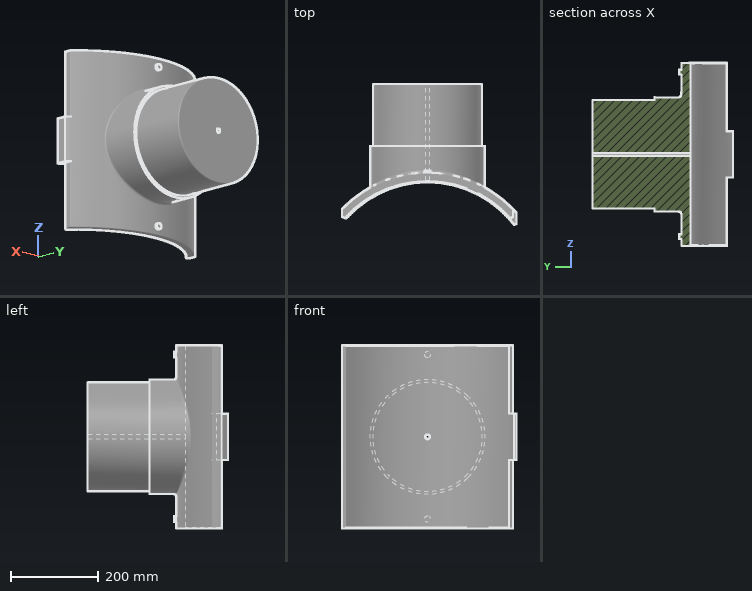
import cadquery as cq
import math

INNER_RADIUS = 250.0
WALL = 22.0
OUTER_RADIUS = INNER_RADIUS + WALL
MID_WALL_RADIUS = (INNER_RADIUS + OUTER_RADIUS) / 2
SADDLE_HALF_WIDTH = 196.0
SADDLE_HEIGHT = 420.0
SADDLE_INNER_EDGE_X = 186.0
SADDLE_EDGE_FILLET = 2.5

TAB_REACH = 204.0
TAB_INNER_EDGE_X = 198.06
TAB_HEIGHT = 106.0

END_FACE_SLOPE = math.radians(20.0)

COLLAR_DIAMETER = 262.5
COLLAR_END_Y = 333.0
SPIGOT_DIAMETER = 250.0
SPIGOT_END_Y = 475.0
SPIGOT_END_FILLET = 3.0
COLLAR_ROOT_FILLET = 5.0
PILOT_HOLE_DIAMETER = 10.0

STUD_DIAMETER = 14.0
STUD_OFFSET_Z = 188.0
STUD_PROJECTION = 4.5

MATCH_TOLERANCE = 0.01
SELECTION_MARGIN = 1.0


def height_on_circle(radius, x):
    """Y of the circle of this radius about the Z axis at the given X."""
    return math.sqrt(radius ** 2 - x ** 2)


def wall_half(half_width, inner_edge_x, height):
    """Wall segment from the crown to a trimmed +X edge, centred on Z = 0."""
    inner_edge_y = height_on_circle(INNER_RADIUS, inner_edge_x)
    outer_edge_y = height_on_circle(OUTER_RADIUS, half_width)
    side_bottom_y = inner_edge_y + (half_width - inner_edge_x) * math.tan(END_FACE_SLOPE)
    outer_mid_x = half_width / 2
    inner_mid_x = inner_edge_x / 2
    return (
        cq.Workplane("XY")
        .workplane(offset=-height / 2)
        .moveTo(0, OUTER_RADIUS)
        .threePointArc(
            (outer_mid_x, height_on_circle(OUTER_RADIUS, outer_mid_x)),
            (half_width, outer_edge_y),
        )
        .lineTo(half_width, side_bottom_y)
        .lineTo(inner_edge_x, inner_edge_y)
        .threePointArc(
            (inner_mid_x, height_on_circle(INNER_RADIUS, inner_mid_x)),
            (0, INNER_RADIUS),
        )
        .close()
        .extrude(height)
    )


def cylinder_along_y(diameter, start_y, end_y, z=0.0):
    """Cylinder parallel to Y on the plane X = 0."""
    base = cq.Workplane("XZ", origin=(0, start_y, z))
    return base.circle(diameter / 2).extrude(start_y - end_y)


def make_saddle():
    """Wall segment with rounded edges; the ends of its trimmed faces and its inner +X edge stay sharp."""
    half = wall_half(SADDLE_HALF_WIDTH, SADDLE_INNER_EDGE_X, SADDLE_HEIGHT)
    saddle = half.union(half.mirror("YZ")).clean()

    end_face_middle_x = (SADDLE_HALF_WIDTH + SADDLE_INNER_EDGE_X) / 2

    def is_rounded(edge):
        x = edge.Center().x
        on_end_face = math.isclose(abs(x), end_face_middle_x, abs_tol=MATCH_TOLERANCE)
        is_inner_tab_edge = math.isclose(x, SADDLE_INNER_EDGE_X, abs_tol=MATCH_TOLERANCE)
        return not (on_end_face or is_inner_tab_edge)

    return saddle.edges().filter(is_rounded).fillet(SADDLE_EDGE_FILLET)


def make_spigot():
    spigot = cylinder_along_y(SPIGOT_DIAMETER, COLLAR_END_Y, SPIGOT_END_Y)
    return spigot.faces(">Y").edges().fillet(SPIGOT_END_FILLET)


def add_collar(saddle):
    """Join the collar to the saddle and fillet the curve where they meet."""
    start_y = height_on_circle(MID_WALL_RADIUS, COLLAR_DIAMETER / 2)
    pipe_side = cq.Workplane("XY").circle(MID_WALL_RADIUS).extrude(SADDLE_HEIGHT / 2, both=True)
    collar = cylinder_along_y(COLLAR_DIAMETER, start_y, COLLAR_END_Y).cut(pipe_side)
    root_reach = COLLAR_DIAMETER / 2 + SELECTION_MARGIN
    root_zone = cq.selectors.BoxSelector(
        (-root_reach, height_on_circle(OUTER_RADIUS, root_reach), -root_reach),
        (root_reach, OUTER_RADIUS + SELECTION_MARGIN, root_reach),
    )
    return saddle.union(collar).edges(root_zone).fillet(COLLAR_ROOT_FILLET)


def make_stud(z):
    return cylinder_along_y(STUD_DIAMETER, MID_WALL_RADIUS, OUTER_RADIUS + STUD_PROJECTION, z)


result = add_collar(make_saddle())
result = result.union(make_spigot())
result = result.union(wall_half(TAB_REACH, TAB_INNER_EDGE_X, TAB_HEIGHT))

for stud_z in (-STUD_OFFSET_Z, STUD_OFFSET_Z):
    result = result.union(make_stud(stud_z))

result = result.cut(cylinder_along_y(PILOT_HOLE_DIAMETER, 0, SPIGOT_END_Y))